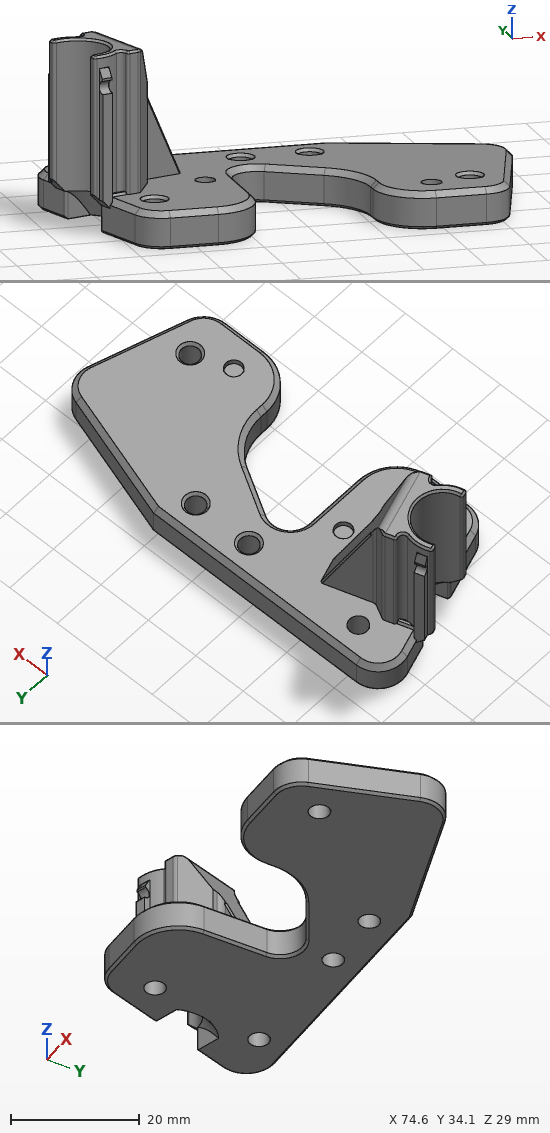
import cadquery as cq
import math

PLATE_THICK = 6.0
PLATE_DEPTH = 34.1
TILT = 17.7
TOP_CHAMFER = 1.0
BOTTOM_CHAMFER = 0.45
CORNER_R = 5.0
LEG_R = 8.0
CROOK_R = 4.0
SHOULDER_R = 10.0
RIGHT_ROUND_X = 69.65
TOP_EDGE_END_X = 48.1
OPENING_LEFT_X = 28.8
OPENING_RIGHT_X = 48.15
CROOK_Y = 19.25
OPENING_SLANT = 30.0

HOLE_D = 3.5
COUNTERSINK_D = 4.5
COUNTERSINK_ANGLE = 90
PIN_D = 3.2
PIN_DEPTH = 1.0
HOLE_ROW_Y = 28.8
LOW_HOLE_Y = 8.35
PLAIN_HOLE = (9.8, HOLE_ROW_Y)
COUNTERSUNK_HOLES = [(32.85, HOLE_ROW_Y), (44.05, HOLE_ROW_Y), (12.9, LOW_HOLE_Y), (64.0, LOW_HOLE_Y)]
PIN_HOLES = [(23.7, 17.1), (57.05, 5.9)]

CLIP_X = 3.0
CLIP_Y = 16.9
TOTAL_HEIGHT = 29.0
BORE_R = 5.0
ARM_R = 6.5
ARM_TIP_U = -1.2
PLATE_EDGE_U = 1.0
BODY_U = 4.8
BODY_HALF = 6.8
GROOVE_R = 0.8
BODY_CORNER_U = 7.1
BODY_BACK_U = 11.3
FLANK_R = 1.0
RIB_LOW_V = -0.75
RIB_HIGH_V = 4.5
RIB_FOOT_U = 18.9
BACK_SLOPE = 0.47
RIB_ROOT_R = 1.0
RIB_BEVEL = 0.3
CREST_R = 2.0
CLIP_EDGE = 0.4
UPRIGHT_R = 0.45
CLIP_BASE_Z = 4.5

RIDGE_START_U = -0.4
RIDGE_END_U = 1.4
RIDGE_V = 7.55
TOOTH_RAMP_Z = 25.45
TOOTH_TOP_Z = 26.95
TOOTH_V = 7.3
TIE_GROOVE_R = 1.05
TIE_GROOVE_Z = 24.05
FOOT_V = 6.6
FOOT_TOP_Z = 6.35

FLARE_R = 7.5
FLARE_HALF = 4.85
FLARE_EDGE_R = 0.45

TILT_COS = math.cos(math.radians(TILT))
TILT_SIN = math.sin(math.radians(TILT))


def placed(shape):
    """Move a shape from the clip frame to the plate frame."""
    return shape.rotate((0, 0, 0), (0, 0, 1), TILT).translate((CLIP_X, CLIP_Y, 0))


def make_plate():
    """Chamfered plate with rounded corners and the opening between its two feet."""
    tilt_tan = TILT_SIN / TILT_COS
    left_base = CLIP_X + PLATE_EDGE_U / TILT_COS + CLIP_Y * tilt_tan
    fall_to_round = CORNER_R * TILT_SIN + RIGHT_ROUND_X - TOP_EDGE_END_X
    round_y = PLATE_DEPTH - fall_to_round * tilt_tan - CORNER_R * TILT_COS
    right_corner = (
        RIGHT_ROUND_X + CORNER_R * (TILT_SIN + TILT_COS),
        round_y + CORNER_R * (TILT_COS - TILT_SIN),
    )
    right_base = right_corner[0] - right_corner[1] * tilt_tan
    slant = math.radians(OPENING_SLANT)
    slant_left_y = CROOK_Y + CROOK_R * (1 + math.sin(slant)) / math.cos(slant)
    slant_right_y = slant_left_y - (OPENING_RIGHT_X - OPENING_LEFT_X) * math.tan(slant)

    corners = [
        (left_base - PLATE_DEPTH * tilt_tan, PLATE_DEPTH, CORNER_R),
        (TOP_EDGE_END_X, PLATE_DEPTH, 0),
        (*right_corner, CORNER_R),
        (right_base, 0, CORNER_R),
        (OPENING_RIGHT_X, 0, LEG_R),
        (OPENING_RIGHT_X, slant_right_y, SHOULDER_R),
        (OPENING_LEFT_X, slant_left_y, CROOK_R),
        (OPENING_LEFT_X, 0, LEG_R),
        (left_base, 0, CORNER_R),
    ]
    plate = cq.Workplane("XY").polyline([(x, y) for x, y, _ in corners]).close().extrude(PLATE_THICK)
    for x, y, radius in corners:
        if radius:
            corner_edge = cq.selectors.NearestToPointSelector((x, y, PLATE_THICK / 2))
            plate = plate.edges("|Z").edges(corner_edge).fillet(radius)
    return plate.faces(">Z").chamfer(TOP_CHAMFER).faces("<Z").chamfer(BOTTOM_CHAMFER)


def cut_holes(part):
    """One plain hole, the countersunk holes and the shallow blind holes."""
    top = part.copyWorkplane(cq.Workplane("XY", origin=(0, 0, PLATE_THICK)))
    part = top.pushPoints([PLAIN_HOLE]).hole(HOLE_D)
    top = part.copyWorkplane(cq.Workplane("XY", origin=(0, 0, PLATE_THICK)))
    part = top.pushPoints(COUNTERSUNK_HOLES).cskHole(HOLE_D, COUNTERSINK_D, COUNTERSINK_ANGLE)
    top = part.copyWorkplane(cq.Workplane("XY", origin=(0, 0, PLATE_THICK)))
    return top.pushPoints(PIN_HOLES).hole(PIN_D, PIN_DEPTH)


def clip_side_points():
    """Points of the clip's +V outline, from the arm tip to the body front."""
    tip = (ARM_TIP_U, math.sqrt(ARM_R**2 - ARM_TIP_U**2))
    groove_u = BODY_U - GROOVE_R
    groove_v = math.sqrt((ARM_R + GROOVE_R) ** 2 - groove_u**2)
    shrink = ARM_R / (ARM_R + GROOVE_R)
    arm_end = (groove_u * shrink, groove_v * shrink)
    arm_top = (0, ARM_R)
    start_angle = math.atan2(-groove_v, -groove_u)
    mid_angle = start_angle / 2
    groove_mid = (groove_u + GROOVE_R * math.cos(mid_angle), groove_v + GROOVE_R * math.sin(mid_angle))
    groove_end = (BODY_U, groove_v)
    return tip, arm_top, arm_end, groove_mid, groove_end


def both_sides(u, v):
    return [(u, v), (u, -v)]


def round_uprights(shape, places, radius):
    """Fillet the upright edges nearest to the given plan positions."""
    for u, v in places:
        edge = cq.selectors.NearestToPointSelector((u, v, (CLIP_BASE_Z + TOTAL_HEIGHT) / 2))
        shape = shape.edges("|Z").edges(edge).fillet(radius)
    return shape


def mirrored(point):
    return (point[0], -point[1])


def make_clip():
    """Open clip with its body, rib, ridges and feet, in the clip frame."""
    tip, arm_top, arm_end, groove_mid, groove_end = clip_side_points()
    back_half = BODY_HALF - (BODY_BACK_U - BODY_CORNER_U)
    height = TOTAL_HEIGHT - CLIP_BASE_Z
    base = cq.Workplane("XY", origin=(0, 0, CLIP_BASE_Z))
    clip = (
        base.moveTo(*tip)
        .threePointArc(arm_top, arm_end)
        .threePointArc(groove_mid, groove_end)
        .lineTo(BODY_U, BODY_HALF)
        .lineTo(BODY_CORNER_U, BODY_HALF)
        .lineTo(BODY_BACK_U, back_half)
        .lineTo(BODY_BACK_U, -back_half)
        .lineTo(BODY_CORNER_U, -BODY_HALF)
        .lineTo(BODY_U, -BODY_HALF)
        .lineTo(*mirrored(groove_end))
        .threePointArc(mirrored(groove_mid), mirrored(arm_end))
        .threePointArc(mirrored(arm_top), mirrored(tip))
        .close()
        .extrude(height)
    )
    rib_length = RIB_FOOT_U - BODY_CORNER_U
    rib = base.moveTo(BODY_CORNER_U, RIB_LOW_V).rect(rib_length, RIB_HIGH_V - RIB_LOW_V, centered=False)
    clip = clip.union(rib.extrude(height))

    rib_flank_u = BODY_CORNER_U + BODY_HALF - RIB_HIGH_V
    clip = round_uprights(clip, [(BODY_BACK_U, RIB_LOW_V), (rib_flank_u, RIB_HIGH_V)], RIB_ROOT_R)
    clip = round_uprights(clip, both_sides(BODY_CORNER_U, BODY_HALF), FLANK_R)
    clip = round_uprights(clip, both_sides(BODY_U, BODY_HALF), UPRIGHT_R)
    clip = clip.cut(cq.Workplane("XY").circle(BORE_R).extrude(TOTAL_HEIGHT))
    bore_tip_v = math.sqrt(BORE_R**2 - ARM_TIP_U**2)
    clip = round_uprights(clip, both_sides(*tip) + both_sides(ARM_TIP_U, bore_tip_v), UPRIGHT_R)

    clip = clip.faces(">Z").chamfer(CLIP_EDGE)
    clip = clip.cut(make_back_cutter())
    clip = clip.cut(make_rib_bevel(RIB_HIGH_V, rib_flank_u + RIB_ROOT_R))
    clip = clip.cut(make_rib_bevel(RIB_LOW_V, BODY_BACK_U + RIB_ROOT_R))

    slope_z = CLIP_BASE_Z + PLATE_EDGE_U - ARM_TIP_U
    under_arms = (
        cq.Workplane("XZ", origin=(0, TOTAL_HEIGHT, 0))
        .polyline([(ARM_TIP_U, slope_z), (PLATE_EDGE_U, CLIP_BASE_Z), (ARM_TIP_U, CLIP_BASE_Z)])
        .close()
        .extrude(2 * TOTAL_HEIGHT)
    )
    for v_side in (1, -1):
        clip = clip.union(make_ridge(v_side)).union(make_foot(v_side))
    return clip.cut(under_arms)


def make_back_cutter():
    """Everything behind the sloping back and its rounded crest."""
    crest_u = RIB_FOOT_U - BACK_SLOPE * (TOTAL_HEIGHT - PLATE_THICK)
    base_u = RIB_FOOT_U + BACK_SLOPE * (PLATE_THICK - CLIP_BASE_Z)
    turn = math.pi / 2 - math.atan(BACK_SLOPE)
    round_u = crest_u - CREST_R * math.tan(turn / 2)
    round_z = TOTAL_HEIGHT - CREST_R
    arc_mid = (round_u + CREST_R * math.sin(turn / 2), round_z + CREST_R * math.cos(turn / 2))
    arc_end = (round_u + CREST_R * math.sin(turn), round_z + CREST_R * math.cos(turn))
    return (
        cq.Workplane("XZ", origin=(0, TOTAL_HEIGHT, 0))
        .moveTo(round_u, TOTAL_HEIGHT)
        .threePointArc(arc_mid, arc_end)
        .lineTo(base_u, CLIP_BASE_Z)
        .lineTo(base_u, TOTAL_HEIGHT)
        .close()
        .extrude(2 * TOTAL_HEIGHT)
    )


def make_rib_bevel(edge_v, end_u):
    """Square bar centred on a sloping rib edge, from the rib's foot up to end_u."""
    along_back = cq.Plane(
        origin=(RIB_FOOT_U, edge_v, PLATE_THICK), xDir=(0, 1, 0), normal=(-BACK_SLOPE, 0, 1)
    )
    rise = (RIB_FOOT_U - end_u) / BACK_SLOPE
    length = math.hypot(rise, RIB_FOOT_U - end_u)
    return cq.Workplane(along_back).polygon(4, 2 * RIB_BEVEL).extrude(length)


def side_block(v_side, start_u, end_u, outline):
    """Extrude a (V, Z) outline along U on the chosen side of the clip."""
    points = [(v_side * v, z) for v, z in outline]
    return cq.Workplane("YZ", origin=(start_u, 0, 0)).polyline(points).close().extrude(end_u - start_u)


def make_ridge(v_side):
    """Upright ridge on an arm: a round groove for a tie, and a ramped tooth above it."""
    root_v = (BORE_R + ARM_R) / 2
    outline = [
        (root_v, CLIP_BASE_Z),
        (RIDGE_V, CLIP_BASE_Z),
        (RIDGE_V, TIE_GROOVE_Z),
        (TOOTH_V, TIE_GROOVE_Z),
        (TOOTH_V, TOOTH_RAMP_Z),
        (ARM_R, TOOTH_TOP_Z),
        (root_v, TOOTH_TOP_Z),
    ]
    ridge = side_block(v_side, RIDGE_START_U, RIDGE_END_U, outline)
    groove = (
        cq.Workplane("YZ", origin=(RIDGE_START_U, 0, 0))
        .center(v_side * RIDGE_V, TIE_GROOVE_Z)
        .circle(TIE_GROOVE_R)
        .extrude(RIDGE_END_U - RIDGE_START_U)
    )
    return ridge.cut(groove)


def make_foot(v_side):
    """Low foot with a 45 degree bevel, filling the base of the hollow beside a ridge."""
    root_v = (BORE_R + ARM_R) / 2
    outline = [
        (root_v, CLIP_BASE_Z),
        (FOOT_V, CLIP_BASE_Z),
        (FOOT_V, PLATE_THICK),
        (FOOT_V - (FOOT_TOP_Z - PLATE_THICK), FOOT_TOP_Z),
        (root_v, FOOT_TOP_Z),
    ]
    return side_block(v_side, RIDGE_END_U, BODY_U, outline)


def make_flare():
    """Downward cone below the bore, trimmed to a slot between two flat walls."""
    cone = cq.Workplane("XY").circle(FLARE_R).workplane(offset=CLIP_BASE_Z).circle(BORE_R).loft()
    slot = cq.Workplane("XY").rect(2 * FLARE_R, 2 * FLARE_HALF).extrude(CLIP_BASE_Z)
    return cone.intersect(slot)


def make_flare_mouth():
    """Cut that rounds the upright plate corners where the flare's walls meet the plate edge."""
    centre_u = PLATE_EDGE_U + FLARE_EDGE_R
    centre_v = FLARE_HALF + FLARE_EDGE_R
    mouth = (
        cq.Workplane("XY")
        .center(centre_u / 2, 0)
        .rect(centre_u, 2 * centre_v)
        .extrude(CLIP_BASE_Z)
    )
    corners = cq.Workplane("XY").pushPoints(both_sides(centre_u, centre_v)).circle(FLARE_EDGE_R)
    return mouth.cut(corners.extrude(CLIP_BASE_Z))


bore = placed(cq.Workplane("XY", origin=(0, 0, CLIP_BASE_Z)).circle(BORE_R).extrude(TOTAL_HEIGHT))
plate = make_plate().cut(placed(make_flare()))
plate = plate.cut(placed(make_flare_mouth()))
plate = cut_holes(plate.cut(bore))
result = plate.union(placed(make_clip()))